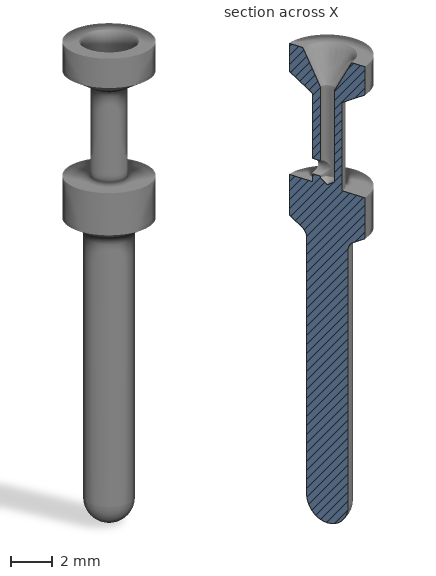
import cadquery as cq
import math

total_length = 25.0
collar_radius = 2.25
neck_radius = 0.9
shaft_radius = 1.25
head_rim_height = 1.525
flange_top_z = 18.0
flange_rim_height = 2.2
shoulder_angle = math.radians(30)
shoulder_fillet = 0.5

funnel_radius = 1.45
funnel_half_angle = math.radians(30)
bore_radius = 0.4
bore_tip_half_angle = math.radians(59)
bore_overrun = 0.1
vent_radius = bore_radius
vent_z = 18.82

head_rim_z = total_length - head_rim_height
neck_top_z = head_rim_z - (collar_radius - neck_radius) * math.tan(shoulder_angle)
flange_rim_z = flange_top_z - flange_rim_height
shoulder_end_z = flange_rim_z - (collar_radius - shaft_radius) * math.tan(shoulder_angle)

fillet_turn = math.pi / 2 - shoulder_angle
fillet_tangent = shoulder_fillet * math.tan(fillet_turn / 2)
fillet_center_r = shaft_radius + shoulder_fillet
fillet_center_z = shoulder_end_z - fillet_tangent


def fillet_point(angle):
    """Point on the shoulder fillet, angle measured from the inward radial direction."""
    return (
        fillet_center_r - shoulder_fillet * math.cos(angle),
        fillet_center_z + shoulder_fillet * math.sin(angle),
    )


def hemisphere_midpoint():
    """Point halfway along the quarter arc of the rounded tip."""
    offset = shaft_radius * math.sin(math.pi / 4)
    return (offset, shaft_radius - offset)


def pin_body():
    """Turned outside of the pin: head, neck, flange, shaft and rounded tip."""
    return (
        cq.Workplane("XZ")
        .moveTo(0, 0)
        .threePointArc(hemisphere_midpoint(), (shaft_radius, shaft_radius))
        .lineTo(shaft_radius, fillet_center_z)
        .threePointArc(fillet_point(fillet_turn / 2), fillet_point(fillet_turn))
        .lineTo(collar_radius, flange_rim_z)
        .lineTo(collar_radius, flange_top_z)
        .lineTo(neck_radius, flange_top_z)
        .lineTo(neck_radius, neck_top_z)
        .lineTo(collar_radius, head_rim_z)
        .lineTo(collar_radius, total_length)
        .lineTo(0, total_length)
        .close()
        .revolve(360, (0, 0, 0), (0, 1, 0))
    )


def funnel_and_bore():
    """Tapered mouth leading into a blind bore with a drill-point bottom."""
    funnel_bottom_z = total_length - (funnel_radius - bore_radius) / math.tan(funnel_half_angle)
    bore_bottom_z = vent_z - vent_radius - bore_overrun
    bore_tip_z = bore_bottom_z - bore_radius / math.tan(bore_tip_half_angle)
    return (
        cq.Workplane("XZ")
        .moveTo(0, bore_tip_z)
        .lineTo(bore_radius, bore_bottom_z)
        .lineTo(bore_radius, funnel_bottom_z)
        .lineTo(funnel_radius, total_length)
        .lineTo(0, total_length)
        .close()
        .revolve(360, (0, 0, 0), (0, 1, 0))
    )


def vent_hole():
    """Small cross hole from the +Y side of the neck into the bore."""
    return (
        cq.Workplane("XZ")
        .center(0, vent_z)
        .circle(vent_radius)
        .extrude(-collar_radius)
    )


result = pin_body().cut(funnel_and_bore()).cut(vent_hole())